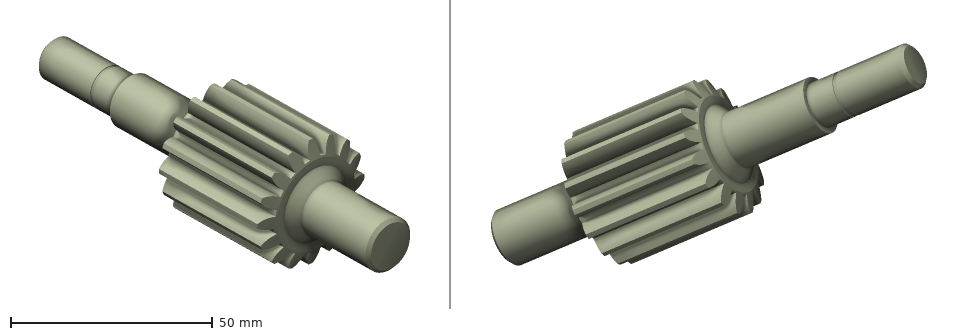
import cadquery as cq
import math

total_length = 124.1
thin_radius = 12.0 / 2
thick_radius = 15.0 / 2
thin_length = 28.8
end_chamfer = 1.0

groove_radius = 11.5 / 2
groove_start = 19.9
groove_width = 1.1

gear_start = 56.6
gear_width = 40.0
collar_length = 3.0
collar_radius = thick_radius + collar_length
tooth_count = 16
tip_radius = 18.0
root_radius = 13.4
face_radius = 12.9
bevel_angle = math.radians(20)

tooth_half_thickness = 1.7
tip_half_thickness = 0.68
crown_start = 14.4

gear_end = gear_start + gear_width
groove_end = groove_start + groove_width


def turned(across, height, angle):
    """Point of an upright tooth after turning it clockwise about the gear axis."""
    return (
        across * math.cos(angle) + height * math.sin(angle),
        height * math.cos(angle) - across * math.sin(angle),
    )


def revolve_about_x(outline):
    return outline.close().revolve(360, (0, 0, 0), (1, 0, 0))


def make_shaft():
    outline = (
        cq.Workplane("XY")
        .moveTo(0, 0)
        .lineTo(0, thin_radius - end_chamfer)
        .lineTo(end_chamfer, thin_radius)
        .lineTo(groove_start, thin_radius)
        .lineTo(groove_start, groove_radius)
        .lineTo(groove_end, groove_radius)
        .lineTo(groove_end, thin_radius)
        .lineTo(thin_length, thin_radius)
        .lineTo(thin_length, thick_radius)
        .lineTo(gear_start - collar_length, thick_radius)
        .lineTo(gear_start, collar_radius)
        .lineTo(gear_end, collar_radius)
        .lineTo(gear_end + collar_length, thick_radius)
        .lineTo(total_length - end_chamfer, thick_radius)
        .lineTo(total_length, thick_radius - end_chamfer)
        .lineTo(total_length, 0)
    )
    return revolve_about_x(outline)


def make_bevelled_envelope():
    """Solid of revolution that bevels the gear ends from the face circle out to the tips."""
    bevel_length = (tip_radius - face_radius) * math.tan(bevel_angle)
    outline = (
        cq.Workplane("XY")
        .moveTo(gear_start, 0)
        .lineTo(gear_start, face_radius)
        .lineTo(gear_start + bevel_length, tip_radius)
        .lineTo(gear_end - bevel_length, tip_radius)
        .lineTo(gear_end, face_radius)
        .lineTo(gear_end, 0)
    )
    return revolve_about_x(outline)


def make_gear():
    """Teeth with parallel sides and crowned tips, standing on the root cylinder."""
    half_pitch = math.pi / tooth_count
    root_height = math.sqrt(root_radius**2 - tooth_half_thickness**2)

    tip_height = math.sqrt(tip_radius**2 - tip_half_thickness**2)
    crown_rise = tip_height - crown_start
    crown_inset = tooth_half_thickness - tip_half_thickness
    crown_radius = (crown_rise**2 + crown_inset**2) / (2 * crown_inset)

    outline = cq.Workplane("YZ", origin=(gear_start, 0, 0))
    outline = outline.moveTo(-tooth_half_thickness, root_height)
    for index in range(tooth_count):
        angle = 2 * half_pitch * index
        outline = (
            outline.lineTo(*turned(-tooth_half_thickness, crown_start, angle))
            .radiusArc(turned(-tip_half_thickness, tip_height, angle), crown_radius)
            .radiusArc(turned(tip_half_thickness, tip_height, angle), tip_radius)
            .radiusArc(turned(tooth_half_thickness, crown_start, angle), crown_radius)
            .lineTo(*turned(tooth_half_thickness, root_height, angle))
            .threePointArc(
                turned(0, root_radius, angle + half_pitch),
                turned(-tooth_half_thickness, root_height, angle + 2 * half_pitch),
            )
        )
    return outline.close().extrude(gear_width).intersect(make_bevelled_envelope())


result = make_shaft().union(make_gear())